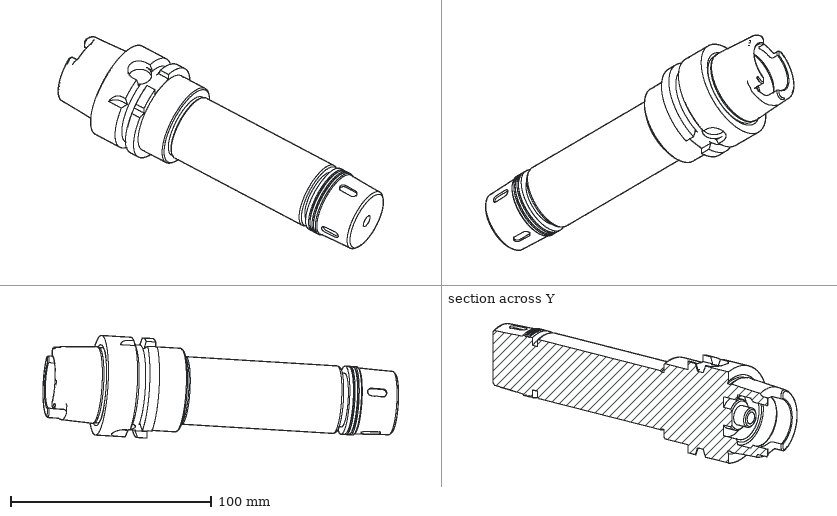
import cadquery as cq
import math

LENGTH = 175.0

NOSE_R = 18.0
NOSE_ROUND = 0.9
TAPER_END_X = 23.0
TAPER_END_R = 19.2
UNDERCUT_R = 18.9
UNDERCUT_BEVEL = 0.9

FLANGE_X = 24.8
FLANGE_R = 25.0
FLANGE_END_X = 51.0
FACE_RECESS_R = 20.3
FACE_RECESS_DEPTH = 0.7
GROOVE_R = 21.4
GROOVE_START_X = 39.7
GROOVE_FLOOR_START_X = 41.3
GROOVE_FLOOR_END_X = 44.6
GROOVE_END_X = 46.0

COLLAR_R = 21.0
COLLAR_END_X = 66.2
COLLAR_BEVEL = 0.7
RELIEF_R = 16.5
TUBE_R = 17.0
TUBE_X = 68.2
TUBE_END_X = 146.6
TUBE_BEVEL = 1.0
TUBE_EDGE_DROP = 0.5
NECK_R = 13.5

NUT_X = 149.6
NUT_RIM_R = 17.2
NUT_RIM_END_X = 155.5
NUT_BODY_X = 156.1
NUT_BODY_R = 16.6
NUT_FRONT_R = 16.0
NUT_BEVEL = 1.0
NUT_GROOVE_XS = (151.9, 154.0)
NUT_GROOVE_WIDTH = 0.9
NUT_GROOVE_R = 16.6
WRENCH_SLOTS = 4
WRENCH_SLOT_X = 163.8
WRENCH_SLOT_LENGTH = 9.8
WRENCH_SLOT_WIDTH = 4.0
WRENCH_SLOT_FLOOR_R = 15.0

BORE_R = 26.0 / 2
BORE_MOUTH_R = 13.5
CLAMP_LIP_END_X = 9.5
CLAMP_GROOVE_R = 14.5
CAVITY_R = 24.0 / 2
CLAMP_GROOVE_END_X = 19.2
CAVITY_BEVEL = 0.7
CAVITY_END_X = 28.0
COOLANT_NUT_R = 16.0 / 2
COOLANT_NUT_FACE_R = 14.5 / 2
COOLANT_NUT_X = 22.8
COOLANT_R = 10.0 / 2
COOLANT_X = 15.8
COOLANT_BEVEL = 0.7
THROUGH_R = 6.0 / 2

DRIVE_HALF_WIDTH = 5.2
DRIVE_TOP_DEPTH = 4.5
DRIVE_BOTTOM_DEPTH = 7.4
DRIVE_CORNER_R = 2.3
DRIVE_FLOOR_ROUND = 1.5
DRIVE_BEVEL = 0.7
DRIVE_INNER_Z = 10.5

CUTTER_R = 6.0
MILL_X = 37.6
KEYWAY_FLOOR_Z = 20.8
POCKET_FLOOR_Z = 18.0
NOTCH_WALL_Y = -15.8
NOTCH_FLOOR_Z = 15.8

CLEAR = 3.5


def turned(points):
    """Revolve a closed (x, radius) outline about the X axis."""
    return cq.Workplane("XY").polyline(points).close().revolve(360, (0, 0, 0), (1, 0, 0))


def outer_body():
    nose_round_mid = NOSE_ROUND * (1 - math.sqrt(0.5))
    outline = (
        cq.Workplane("XY")
        .moveTo(0, 0)
        .lineTo(0, NOSE_R - NOSE_ROUND)
        .threePointArc((nose_round_mid, NOSE_R - nose_round_mid), (NOSE_ROUND, NOSE_R))
        .lineTo(TAPER_END_X, TAPER_END_R)
        .lineTo(TAPER_END_X + UNDERCUT_BEVEL, UNDERCUT_R)
        .lineTo(FLANGE_X + FACE_RECESS_DEPTH, UNDERCUT_R)
        .lineTo(FLANGE_X, FACE_RECESS_R)
        .lineTo(FLANGE_X, FLANGE_R)
        .lineTo(GROOVE_START_X, FLANGE_R)
        .lineTo(GROOVE_FLOOR_START_X, GROOVE_R)
        .lineTo(GROOVE_FLOOR_END_X, GROOVE_R)
        .lineTo(GROOVE_END_X, FLANGE_R)
        .lineTo(FLANGE_END_X, FLANGE_R)
        .lineTo(FLANGE_END_X, COLLAR_R)
        .lineTo(COLLAR_END_X - COLLAR_BEVEL, COLLAR_R)
        .lineTo(COLLAR_END_X, COLLAR_R - COLLAR_BEVEL)
        .lineTo(COLLAR_END_X, RELIEF_R)
        .lineTo(TUBE_X - (TUBE_R - RELIEF_R), RELIEF_R)
        .lineTo(TUBE_X, TUBE_R)
        .lineTo(TUBE_END_X - TUBE_BEVEL, TUBE_R)
        .lineTo(TUBE_END_X, TUBE_R - TUBE_EDGE_DROP)
        .lineTo(TUBE_END_X, NECK_R)
        .lineTo(NUT_X, NECK_R)
        .lineTo(NUT_X, NUT_RIM_R)
        .lineTo(NUT_RIM_END_X, NUT_RIM_R)
        .lineTo(NUT_BODY_X, NUT_BODY_R)
        .lineTo(LENGTH - NUT_BEVEL, NUT_FRONT_R)
        .lineTo(LENGTH, NUT_FRONT_R - NUT_BEVEL)
        .lineTo(LENGTH, 0)
        .close()
    )
    return outline.revolve(360, (0, 0, 0), (1, 0, 0))


def shank_cavity():
    """Hollow of the taper with its clamping groove, around the coolant tube and coolant nut."""
    mouth_bevel = BORE_MOUTH_R - BORE_R
    nut_bevel = COOLANT_NUT_R - COOLANT_NUT_FACE_R
    return turned([
        (0, 0),
        (0, BORE_MOUTH_R),
        (mouth_bevel, BORE_R),
        (CLAMP_LIP_END_X, BORE_R),
        (CLAMP_LIP_END_X + CLAMP_GROOVE_R - BORE_R, CLAMP_GROOVE_R),
        (CLAMP_GROOVE_END_X, CLAMP_GROOVE_R),
        (CLAMP_GROOVE_END_X, BORE_R),
        (CLAMP_GROOVE_END_X + CAVITY_BEVEL, CAVITY_R),
        (CAVITY_END_X, CAVITY_R),
        (CAVITY_END_X, COOLANT_NUT_R),
        (COOLANT_NUT_X + nut_bevel, COOLANT_NUT_R),
        (COOLANT_NUT_X, COOLANT_NUT_FACE_R),
        (COOLANT_NUT_X, COOLANT_R),
        (COOLANT_X + COOLANT_BEVEL, COOLANT_R),
        (COOLANT_X, COOLANT_R - COOLANT_BEVEL),
        (COOLANT_X, 0),
    ])


def drive_slot_outline(x):
    """Cross-section of a drive slot on the +Z side, with corners rounded into the taper."""
    centre_y = DRIVE_HALF_WIDTH + DRIVE_CORNER_R
    centre_z = math.sqrt((NOSE_R - DRIVE_CORNER_R) ** 2 - centre_y**2)
    outward = math.atan2(centre_z, centre_y)
    mid_angle = (outward + math.pi) / 2

    def corner_point(angle):
        return (
            centre_y + DRIVE_CORNER_R * math.cos(angle),
            centre_z + DRIVE_CORNER_R * math.sin(angle),
        )

    mid_y, mid_z = corner_point(mid_angle)
    flare_y, flare_z = corner_point(outward)
    tip_y = flare_y + CLEAR * math.sin(outward)
    tip_z = flare_z - CLEAR * math.cos(outward)
    return (
        cq.Workplane("YZ", origin=(x, 0, 0))
        .moveTo(-DRIVE_HALF_WIDTH, DRIVE_INNER_Z)
        .lineTo(DRIVE_HALF_WIDTH, DRIVE_INNER_Z)
        .lineTo(DRIVE_HALF_WIDTH, centre_z)
        .threePointArc((mid_y, mid_z), (flare_y, flare_z))
        .lineTo(tip_y, tip_z)
        .lineTo(tip_y, FLANGE_R)
        .lineTo(-tip_y, FLANGE_R)
        .lineTo(-tip_y, tip_z)
        .lineTo(-flare_y, flare_z)
        .threePointArc((-mid_y, mid_z), (-DRIVE_HALF_WIDTH, centre_z))
        .close()
    )


def drive_slot(depth):
    """Cutter for a drive slot with a rounded floor and a 45 degree bevel at the nose face."""
    slot = drive_slot_outline(depth).extrude(-depth).faces(">X").edges().fillet(DRIVE_FLOOR_ROUND)
    bevel = drive_slot_outline(DRIVE_BEVEL).extrude(-DRIVE_BEVEL, taper=-45)
    return slot.union(bevel)


def milled_slot(centre_y, floor_z):
    """Round-ended cut from the milling position back through the rear of the flange."""
    height = FLANGE_R + CLEAR - floor_z
    base = cq.Workplane("XY", origin=(0, centre_y, floor_z))
    round_end = base.center(MILL_X, 0).circle(CUTTER_R).extrude(height)
    run = FLANGE_END_X - MILL_X
    straight = base.center(MILL_X + run / 2, 0).rect(run, 2 * CUTTER_R).extrude(height)
    return round_end.union(straight)


def keyway():
    """Milled slot on the +Z side with a deeper round pocket at its closed end."""
    pocket = (
        cq.Workplane("XY", origin=(MILL_X, 0, POCKET_FLOOR_Z))
        .circle(CUTTER_R)
        .extrude(FLANGE_R + CLEAR - POCKET_FLOOR_Z)
    )
    return milled_slot(0, KEYWAY_FLOOR_Z).union(pocket)


def nut_groove(x):
    """V-groove around the rim of the collet nut."""
    half = NUT_GROOVE_WIDTH / 2
    return turned([(x - half, NUT_RIM_R), (x, NUT_GROOVE_R), (x + half, NUT_RIM_R)])


def wrench_slot():
    """Flat-bottomed slot in the top of the collet nut."""
    return (
        cq.Workplane("XY", origin=(WRENCH_SLOT_X, 0, WRENCH_SLOT_FLOOR_R))
        .slot2D(WRENCH_SLOT_LENGTH, WRENCH_SLOT_WIDTH)
        .extrude(CLEAR)
    )


def turn_about_axis(cutter, angle):
    return cutter.rotate((0, 0, 0), (1, 0, 0), angle)


body = outer_body().cut(shank_cavity())
body = body.cut(cq.Workplane("YZ").circle(THROUGH_R).extrude(LENGTH))

body = body.cut(drive_slot(DRIVE_TOP_DEPTH))
body = body.cut(turn_about_axis(drive_slot(DRIVE_BOTTOM_DEPTH), 180))

body = body.cut(keyway())
body = body.cut(turn_about_axis(keyway(), 180))
body = body.cut(milled_slot(NOTCH_WALL_Y - CUTTER_R, NOTCH_FLOOR_Z))

for groove_x in NUT_GROOVE_XS:
    body = body.cut(nut_groove(groove_x))

for index in range(WRENCH_SLOTS):
    body = body.cut(turn_about_axis(wrench_slot(), index * 360 / WRENCH_SLOTS))

result = body